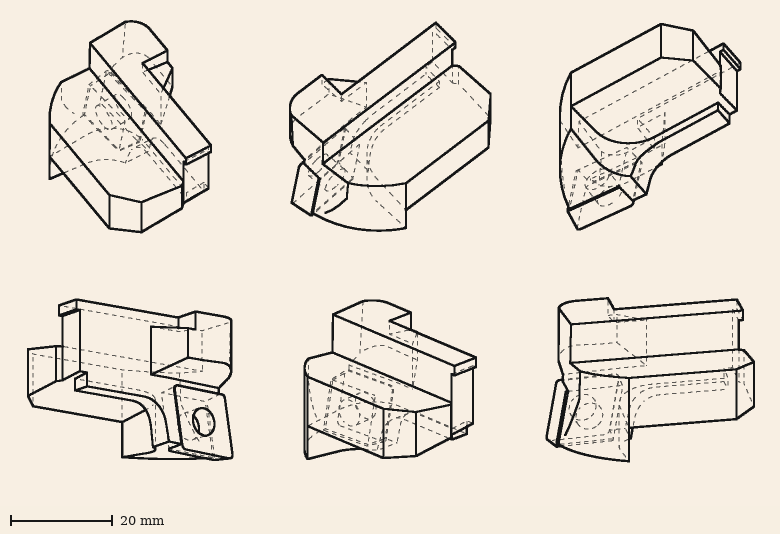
import cadquery as cq
import math

length = 38.48
depth = 26.8
height = 26.5
bar_front = 15.0
bar_back = 20.95

wing_top_front = 20.45
wing_top_angle = 8.0
wing_bottom_front = 9.8
wing_bottom_angle = 6.1
wing_corner = 4.55
relief_x = 0.85
relief_y = 0.92
bar_end_relief = 0.85
lip_height = 2.05

head_right = 12.4
head_bottom_front = 2.7
head_bottom = 1.0
arc_middle = (4.15, 8.15)
arc_end = (1.42, 15.25)
block_right = 13.8
block_bottom_rear = 16.9
block_bottom_front = 13.93
block_left = 3.0
block_round = 4.45

relief_start_x = 3.08
relief_start_y = 19.95
relief_slope = 0.48

flank_rear_x = 2.77
flank_plan_slope = 0.072
flank_upper_lean = 0.02
flank_lower_lean = 0.18
fold_height = 13.12

ledge_rear_x = 15.62
ledge_front_x = 20.35
ledge_top = 23.65
ledge_angle = 8.0

leg_bottom_right = 16.0
leg_lean = 12.0
keel_bottom = 9.25
keel_right = 35.85
keel_blend = 5.4
plan_blend = 8.35
plan_blend_y = 8.55

inscribed = 12.7
insert_angle = 80.0
insert_thickness = 4.77
insert_clearance = 7.0
insert_turn = 4.2
insert_nose = 0.8
insert_hole = 5.5
insert_corner_x = -0.15
insert_corner_y = 20.0


def rise(run, angle):
    """Height gained over a run at an angle in degrees."""
    return run * math.tan(math.radians(angle))


def box(x0, x1, y0, y1, z0, z1):
    return cq.Workplane("XY").box(x1 - x0, y1 - y0, z1 - z0, centered=False).translate((x0, y0, z0))


def side_prism(points, x0, x1):
    """Prism along X from a list of (y, z) points."""
    return cq.Workplane("YZ").workplane(offset=x0).polyline(points).close().extrude(x1 - x0)


def plan_prism(points):
    """Full-height prism from a list of (x, y) points."""
    return cq.Workplane("XY").polyline(points).close().extrude(height)


wing_top_rear = wing_top_front - rise(bar_front, wing_top_angle)
wing_bottom_rear = wing_bottom_front + rise(bar_back, wing_bottom_angle)


def make_bar_and_wing():
    body = side_prism([
        (0, wing_bottom_front),
        (bar_back, wing_bottom_rear),
        (bar_back, height),
        (bar_front, height),
        (bar_front, wing_top_rear),
        (0, wing_top_front),
    ], head_right, length)
    front_corner = plan_prism([(length - wing_corner, 0), (length, 0), (length, wing_corner)])
    bar_end = plan_prism([
        (length, bar_front - relief_y),
        (length, depth),
        (length - relief_x, depth),
        (length - relief_x, bar_front),
    ])
    lip = box(length - bar_end_relief, length, 0, depth, height - lip_height, height)
    return body.cut(front_corner).cut(bar_end.cut(lip))


def make_head():
    section = [
        (0, head_bottom_front),
        ((head_bottom_front - head_bottom) / rise(1, wing_bottom_angle), head_bottom),
        (bar_back, head_bottom),
        (bar_back, block_bottom_front),
        (depth, block_bottom_rear),
        (depth, height),
        (bar_front, height),
        (bar_front, wing_top_rear),
        (0, wing_top_front),
    ]
    round_offset = block_round * math.sqrt(0.5)
    plan = (
        cq.Workplane("XY")
        .moveTo(head_right, 0)
        .threePointArc(arc_middle, arc_end)
        .lineTo(0, bar_back)
        .lineTo(block_left, bar_back)
        .lineTo(block_left, depth - block_round)
        .threePointArc(
            (block_left + block_round - round_offset, depth - block_round + round_offset),
            (block_left + block_round, depth),
        )
        .lineTo(block_right, depth)
        .lineTo(block_right, bar_back)
        .lineTo(head_right, bar_back)
        .close()
        .extrude(height)
    )
    return side_prism(section, 0, block_right).intersect(plan)


def make_ledge():
    run = depth - bar_back
    ledge = side_prism([
        (bar_back, block_bottom_front),
        (depth, block_bottom_rear),
        (depth, ledge_top - rise(run, ledge_angle)),
        (bar_back, ledge_top),
    ], block_right, ledge_front_x)
    outline = plan_prism([
        (block_right, bar_back),
        (ledge_front_x, bar_back),
        (ledge_rear_x, depth),
        (block_right, depth),
    ])
    return ledge.intersect(outline)


def make_leg_and_keel():
    lean = math.radians(leg_lean)
    blend_z = keel_bottom - keel_blend
    edge_x = leg_bottom_right + rise(blend_z - head_bottom, leg_lean)
    blend_x = edge_x + keel_blend / math.cos(lean)
    blend_start = (blend_x - keel_blend * math.cos(lean), blend_z + keel_blend * math.sin(lean))
    half = (lean + math.pi / 2) / 2
    blend_middle = (blend_x - keel_blend * math.cos(half), blend_z + keel_blend * math.sin(half))
    leg = (
        cq.Workplane("XZ", origin=(0, bar_back, 0))
        .moveTo(head_right, head_bottom)
        .lineTo(leg_bottom_right, head_bottom)
        .lineTo(*blend_start)
        .threePointArc(blend_middle, (blend_x, keel_bottom))
        .lineTo(keel_right, keel_bottom)
        .lineTo(keel_right, wing_bottom_rear)
        .lineTo(head_right, wing_bottom_rear)
        .close()
        .extrude(bar_back - plan_blend_y)
    )
    centre_x = head_right + plan_blend
    front_space = cq.Workplane("XY").center(centre_x, plan_blend_y).circle(plan_blend).extrude(height)
    front_space = front_space.union(box(centre_x, length, 0, plan_blend_y + plan_blend, 0, height))
    below_wing = side_prism([
        (0, 0),
        (bar_back, 0),
        (bar_back, wing_bottom_rear),
        (0, wing_bottom_front),
    ], 0, length)
    end_ramp = side_prism([
        (0, 0),
        (0, head_bottom_front),
        (head_bottom_front / rise(1, wing_bottom_angle), 0),
    ], 0, length)
    return leg.cut(front_space).intersect(below_wing).cut(end_ramp)


def make_rear_relief():
    relief = side_prism([
        (0, 0),
        (depth, 0),
        (depth, block_bottom_front + relief_slope * depth),
        (0, block_bottom_front),
    ], -length, length)
    relief = relief.rotate((0, 0, 0), (0, 0, 1), insert_turn)
    return relief.translate((relief_start_x, relief_start_y, 0))


def flank_waste(lean, z0, z1):
    """Material outside one flank plane between two heights."""
    def section(y):
        rear_x = flank_rear_x + flank_plan_slope * (depth - y)
        return cq.Wire.makePolygon([
            cq.Vector(-length, y, z0),
            cq.Vector(rear_x + lean * (z0 - fold_height), y, z0),
            cq.Vector(rear_x + lean * (z1 - fold_height), y, z1),
            cq.Vector(-length, y, z1),
        ], close=True)

    return cq.Workplane(cq.Solid.makeLoft([section(0), section(depth)], True))


insert_plane = cq.Plane(
    origin=(insert_corner_x, insert_corner_y, 0),
    xDir=(math.cos(math.radians(insert_turn)), math.sin(math.radians(insert_turn)), 0),
    normal=(math.sin(math.radians(insert_turn)), -math.cos(math.radians(insert_turn)), 0),
)


insert_side = inscribed / math.sin(math.radians(insert_angle))
insert_shift = inscribed / math.tan(math.radians(insert_angle))


def insert_outline():
    corners = [
        (0, 0),
        (insert_side, 0),
        (insert_side + insert_shift, inscribed),
        (insert_shift, inscribed),
        (0, 0),
    ]
    sketch = (
        cq.Sketch()
        .polygon(corners)
        .vertices()
        .fillet(insert_nose)
    )
    return cq.Workplane(insert_plane).placeSketch(sketch)


def make_insert_blank():
    return insert_outline().extrude(insert_thickness, taper=insert_clearance)


def make_insert():
    hole = (
        cq.Workplane(insert_plane)
        .center((insert_side + insert_shift) / 2, inscribed / 2)
        .circle(insert_hole / 2)
        .extrude(insert_thickness)
    )
    return make_insert_blank().cut(hole)


def make_holder():
    head = make_head()
    head = head.cut(flank_waste(flank_upper_lean, fold_height, height))
    head = head.cut(flank_waste(flank_lower_lean, 0, fold_height))
    holder = head.union(make_bar_and_wing()).union(make_ledge()).union(make_leg_and_keel())
    holder = holder.cut(make_rear_relief())
    open_side = insert_outline().extrude(insert_corner_y - depth)
    return holder.cut(make_insert_blank()).cut(open_side)


holder = make_holder()
insert = make_insert()
result = cq.Compound.makeCompound([holder.val(), insert.val()])